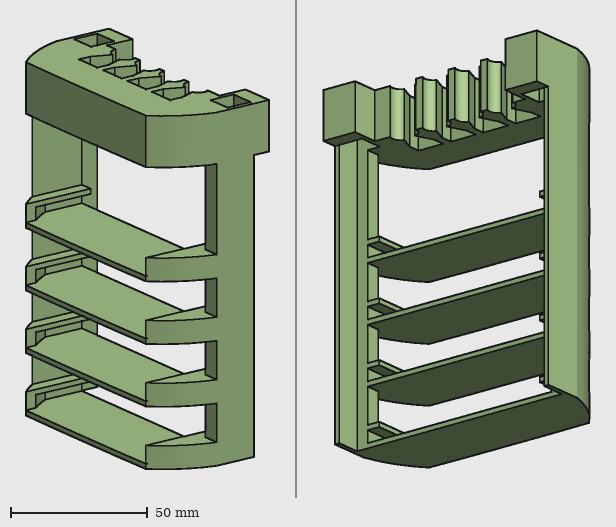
import cadquery as cq

width = 99.2
depth = 47.0
height = 136.8
half_width = width / 2
thin = 2.0

front_half = 37.2
front_flat_half = 17.8
front_setback = 0.3
side_start = 23.3
side_radius = 50.6

plate_height = 20.0
plate_back = 35.3
tab_inner = 34.9
window = 10.5
window_front = 29.7
window_outer = half_width - thin

pocket_count = 4
pocket_pitch = 15.0
pocket_half = 5.7
pocket_front = 17.8
pocket_shoulder = 23.0
left_neck = (-2.6, 30.8)
left_curve_mid = (-5.5, 32.1)
left_mouth_x = -6.7
right_neck = (3.1, 29.7)
right_curve_mid = (5.2, 31.5)
right_mouth_x = 5.2

column_width = 7.0
column_inner = half_width - column_width
column_back = window_front + window

tier_count = 4
tier_pitch = 24.2
tier_height = 9.2
tier_back = window_front
shelf_half = 37.2
groove_wall = 3.0


def block(x0, x1, y0, y1, z0, z1):
    """Box between the given limits on each axis."""
    return cq.Workplane("XY").box(x1 - x0, y1 - y0, z1 - z0, centered=False).translate((x0, y0, z0))


def outline_prism(back, z0, z1):
    """Prism of the plan outline, cut off straight at the given back edge."""
    return (
        cq.Workplane("XY")
        .workplane(offset=z0)
        .moveTo(-half_width, back)
        .lineTo(-half_width, side_start)
        .radiusArc((-front_half, front_setback), -side_radius)
        .lineTo(-front_flat_half, 0)
        .lineTo(front_flat_half, 0)
        .lineTo(front_half, front_setback)
        .radiusArc((half_width, side_start), -side_radius)
        .lineTo(half_width, back)
        .close()
        .extrude(z1 - z0)
    )


def pocket(x, z0, z1):
    """Tapered tool pocket with an uneven, rounded mouth at the rear edge."""
    return (
        cq.Workplane("XY")
        .workplane(offset=z0)
        .center(x, 0)
        .moveTo(-pocket_half, pocket_front)
        .lineTo(pocket_half, pocket_front)
        .lineTo(pocket_half, pocket_shoulder)
        .lineTo(*right_neck)
        .threePointArc(right_curve_mid, (right_mouth_x, plate_back))
        .lineTo(left_mouth_x, plate_back)
        .threePointArc(left_curve_mid, left_neck)
        .lineTo(-pocket_half, pocket_shoulder)
        .close()
        .extrude(z1 - z0)
    )


def top_plate():
    """Plate with two rear tabs, a square window in each and the tool pockets."""
    z0 = height - plate_height
    plate = outline_prism(depth, z0, height)
    plate = plate.cut(block(-tab_inner, tab_inner, plate_back, depth, z0, height))
    for x0 in (-window_outer, window_outer - window):
        plate = plate.cut(block(x0, x0 + window, window_front, column_back, z0, height))
    for i in range(pocket_count):
        x = (i - (pocket_count - 1) / 2) * pocket_pitch
        plate = plate.cut(pocket(x, z0, height))
    return plate


def columns():
    """Two columns, thinned to an outer wall behind the shelves; the right one starts behind its corner."""
    z1 = height - plate_height
    both = outline_prism(column_back, 0, z1)
    both = both.cut(block(-column_inner, column_inner, 0, column_back, 0, z1))
    both = both.cut(block(-window_outer, window_outer, window_front, column_back, 0, z1))
    return both.cut(block(column_inner, half_width, 0, side_start, 0, z1))


def tier():
    """Shelf with raised end walls, each undercut by a groove that stops short of the outside."""
    body = outline_prism(tier_back, 0, tier_height)
    body = body.cut(block(-shelf_half, shelf_half, 0, tier_back, thin, tier_height))
    groove_top = tier_height - thin
    outside = outline_prism(depth, thin, groove_top).faces("<Z").wires().toPending()
    inside = outside.offset2D(-groove_wall).extrude(groove_top - thin, combine=False)
    groove_limits = block(-column_inner, column_inner, 0, tier_back, thin, groove_top)
    groove = inside.intersect(groove_limits)
    return body.cut(groove)


result = top_plate().union(columns())
for level in range(tier_count):
    result = result.union(tier().translate((0, 0, level * tier_pitch)))
result = result.clean()